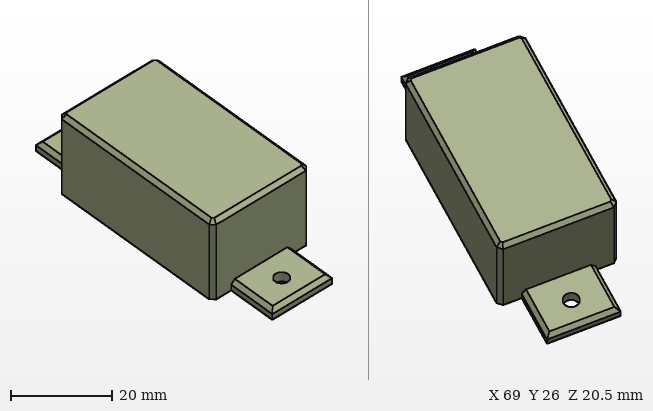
import cadquery as cq

total_length = 69.0
body_length = 45.0
body_width = 26.0
body_height = 20.5
tab_width = 16.0
tab_thickness = 2.5
edge_chamfer = 1.0

hole_diameter = 3.4
hole_end_distance = 6.0
hole_spacing = total_length - 2 * hole_end_distance


def make_body():
    """Block with bevelled vertical edges and top rim."""
    block = cq.Workplane("XY").box(body_length, body_width, body_height, centered=(True, True, False))
    return block.edges("|Z").chamfer(edge_chamfer).faces(">Z").edges().chamfer(edge_chamfer)


def make_tab_plate():
    """Plate running through the body, whose bevelled ends form the two tabs."""
    plate = cq.Workplane("XY").box(total_length, tab_width, tab_thickness, centered=(True, True, False))
    return plate.faces(">Z").edges().chamfer(edge_chamfer)


def make_hole_cutters():
    hole_positions = [(-hole_spacing / 2, 0), (hole_spacing / 2, 0)]
    return cq.Workplane("XY").pushPoints(hole_positions).circle(hole_diameter / 2).extrude(tab_thickness)


result = make_body().union(make_tab_plate()).cut(make_hole_cutters())